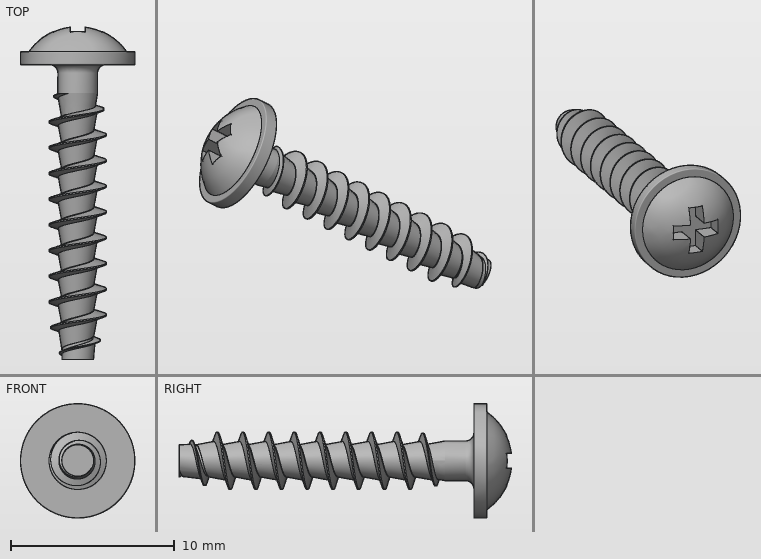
import math

import cadquery as cq


head_height = 2.3
washer_diameter = 7.0
washer_thickness = 0.8
washer_edge_round = 0.06
dome_base_radius = 3.0

recess_width = 0.9
recess_span = 2.95
recess_depth = 1.4

shank_length = 18.0
neck_radius = 1.22
neck_fillet = 0.5
neck_length = 1.75
head_overlap = 0.2
core_radius = 0.94

pitch = 1.57
crest_radius = 1.75
core_wide_radius = 1.19
crest_half_width = 0.04
upper_root_half_width = 0.25
lower_root_half_width = 0.22
core_taper_length = 1.29
core_narrow_radius = 0.99
tip_narrowing = 0.06
least_fullness = 0.1
buried_radius = 0.85
crest_on_x_axis_y = -15.27
top_fade_turns = 1.9
top_fade_end_y = -3.4
tip_fade_turns = 1.45
tip_fade_start_y = -15.75
points_per_turn = 16


def revolve_about_axis(outline):
    return outline.close().revolve(360, (0, 0, 0), (0, 1, 0))


def make_head():
    washer_radius = washer_diameter / 2
    washer = (
        cq.Workplane("XZ")
        .circle(washer_radius)
        .extrude(-washer_thickness)
        .edges()
        .fillet(washer_edge_round)
    )
    summit_radius = recess_width / math.sqrt(2)
    center_y = (
        summit_radius**2 + head_height**2 - dome_base_radius**2 - washer_thickness**2
    ) / (2 * (head_height - washer_thickness))
    dome_sphere_radius = math.hypot(dome_base_radius, washer_thickness - center_y)
    apex_y = center_y + dome_sphere_radius
    bend = math.asin(dome_base_radius / dome_sphere_radius) / 2
    middle = (dome_sphere_radius * math.sin(bend), center_y + dome_sphere_radius * math.cos(bend))
    dome = revolve_about_axis(
        cq.Workplane("XY")
        .moveTo(0, washer_thickness - head_overlap)
        .lineTo(dome_base_radius, washer_thickness - head_overlap)
        .lineTo(dome_base_radius, washer_thickness)
        .threePointArc(middle, (0, apex_y))
    )
    recess_floor = cq.Workplane("XZ", origin=(0, head_height - recess_depth, 0))
    recess = (
        recess_floor.rect(recess_span, recess_width)
        .extrude(-2 * recess_depth)
        .union(recess_floor.rect(recess_width, recess_span).extrude(-2 * recess_depth))
    )
    return washer.union(dome).cut(recess)


def make_shank():
    fillet_reach = neck_fillet * (1 - math.sqrt(0.5))
    return revolve_about_axis(
        cq.Workplane("XY")
        .moveTo(0, head_overlap)
        .lineTo(neck_radius + neck_fillet, head_overlap)
        .lineTo(neck_radius + neck_fillet, 0)
        .threePointArc((neck_radius + fillet_reach, -fillet_reach), (neck_radius, -neck_fillet))
        .lineTo(neck_radius, -neck_length)
        .lineTo(core_radius, -neck_length - pitch)
        .lineTo(core_radius, -shank_length)
        .lineTo(0, -shank_length)
    )


def top_fade_at(y):
    """0 along the full thread, growing to 1 where it dies out at the neck."""
    return max(0.0, (y - top_fade_end_y) / (top_fade_turns * pitch))


def tip_fade_at(y):
    """0 along the full thread, growing to 1 where it dies out at the tip."""
    return max(0.0, (tip_fade_start_y - y) / (tip_fade_turns * pitch))


def profile_at(y):
    """Thread corners as (radius, Y) in a half plane through the axis, crest centred on y."""
    tip_fade = tip_fade_at(y)
    fullness = 1 - (1 - least_fullness) * max(top_fade_at(y), tip_fade)
    crest = (
        crest_radius
        - (crest_radius - core_wide_radius) * top_fade_at(y)
        - (crest_radius - core_narrow_radius) * tip_fade
    )
    narrow = core_narrow_radius - tip_narrowing * tip_fade
    wide = narrow + (core_wide_radius - core_narrow_radius) * (1 - tip_fade)
    return [
        (buried_radius, y + upper_root_half_width * fullness),
        (narrow, y + upper_root_half_width * fullness),
        (crest, y + crest_half_width * fullness),
        (crest, y - crest_half_width * fullness),
        (wide, y - lower_root_half_width * fullness),
        (narrow, y - core_taper_length),
        (buried_radius, y - core_taper_length),
    ]


def thread_corners_at(y):
    """Thread profile turned to its place on the right-hand helix, climbing from +X to -Z."""
    angle = 2 * math.pi * (y - crest_on_x_axis_y) / pitch
    return [
        cq.Vector(radius * math.cos(angle), corner_y, -radius * math.sin(angle))
        for radius, corner_y in profile_at(y)
    ]


def thread_turn_faces(start_y, end_y):
    """Ruled side faces of one stretch of thread."""
    stations = [
        thread_corners_at(start_y + (end_y - start_y) * step / points_per_turn)
        for step in range(points_per_turn + 1)
    ]
    parameters = [step / points_per_turn for step in range(points_per_turn + 1)]
    edges = [cq.Edge.makeSpline(list(track), parameters=parameters) for track in zip(*stations)]
    return [
        cq.Face.makeRuledSurface(edge, following)
        for edge, following in zip(edges, edges[1:] + edges[:1])
    ]


def thread_end_face(y):
    return cq.Face.makeFromWires(cq.Wire.makePolygon(thread_corners_at(y), close=True))


def make_thread():
    start_y = tip_fade_start_y - tip_fade_turns * pitch
    end_y = -neck_length + pitch
    turns = math.ceil((end_y - start_y) / pitch)
    turn_rise = (end_y - start_y) / turns
    faces = [thread_end_face(start_y), thread_end_face(end_y)]
    for turn in range(turns):
        turn_start_y = start_y + turn * turn_rise
        faces += thread_turn_faces(turn_start_y, turn_start_y + turn_rise)
    solid = cq.Solid.makeSolid(cq.Shell.makeShell(faces)).fix()
    threaded_zone = (
        cq.Workplane("XZ", origin=(0, -neck_length, 0))
        .circle(2 * crest_radius)
        .extrude(shank_length - neck_length)
    )
    return cq.Workplane("XY").add(solid).intersect(threaded_zone)


result = make_head().union(make_shank()).union(make_thread())